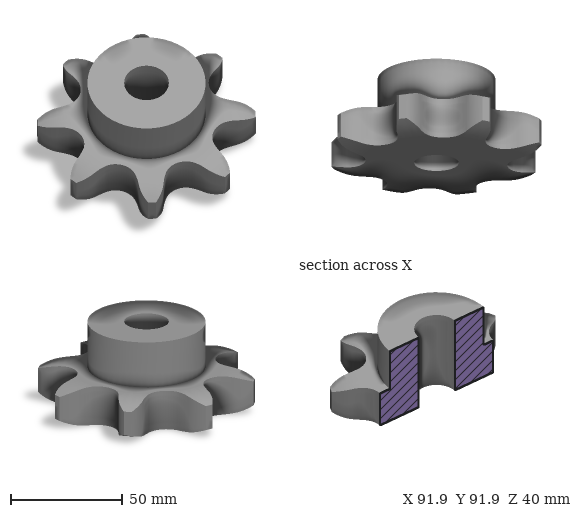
import cadquery as cq
import math

overall_width = 91.9
overall_height = 40.0
tooth_count = 8
chain_pitch = 31.7
roller_diameter = 19.0
plate_thickness = 18.5
hub_diameter = 53.0
bore_diameter = 20.0
flat_face_radius = 34.55
face_curve_radius = chain_pitch

half_step = 180 / tooth_count
pitch_radius = chain_pitch / (2 * math.sin(math.radians(half_step)))
seat_radius = roller_diameter / 2
seat_angle = 35 + 60 / tooth_count
working_angle = 18 - 56 / tooth_count
working_center_offset = 0.8 * roller_diameter
working_radius = working_center_offset + seat_radius
topping_center_offset = 1.4 * roller_diameter


def polar(center, radius, angle):
    """Point at a distance and an angle in degrees from a center."""
    turn = math.radians(angle)
    return (center[0] + radius * math.cos(turn), center[1] + radius * math.sin(turn))


seat_center = (pitch_radius, 0)
working_center = polar(seat_center, working_center_offset, seat_angle - 90)
topping_center = polar(seat_center, topping_center_offset, 90 + half_step)

seat_end = 90 + seat_angle
working_end = seat_end - working_angle
flank_normal = math.radians(working_end)

center_distance = (
    (topping_center[0] - working_center[0]) * math.cos(flank_normal)
    + (topping_center[1] - working_center[1]) * math.sin(flank_normal)
)
topping_radius = center_distance - working_radius
topping_start = working_end - 180

tip_x = overall_width / 2
topping_end = -math.degrees(math.acos((tip_x - topping_center[0]) / topping_radius))
tip_corner = polar(topping_center, topping_radius, topping_end)
tip_radius = math.hypot(*tip_corner)


def tooth_outline():
    """Closed outline of all the gaps and tooth tips."""
    seat_point = polar(seat_center, seat_radius, seat_end)
    seat_bottom = polar(seat_center, seat_radius, 180)
    working_middle = polar(working_center, working_radius, (seat_end + working_end) / 2)
    working_point = polar(working_center, working_radius, working_end)
    topping_point = polar(topping_center, topping_radius, topping_start)
    topping_middle = polar(topping_center, topping_radius, (topping_start + topping_end) / 2)

    def placed(point, step, side=1):
        """Turn a point to its gap; side -1 mirrors it to the lower flank."""
        angle = math.degrees(math.atan2(side * point[1], point[0]))
        return polar((0, 0), math.hypot(*point), angle + step * 360 / tooth_count)

    outline = cq.Workplane("XY").moveTo(*placed(tip_corner, 0, -1))
    for step in range(tooth_count):
        outline = (
            outline
            .threePointArc(placed(topping_middle, step, -1), placed(topping_point, step, -1))
            .lineTo(*placed(working_point, step, -1))
            .threePointArc(placed(working_middle, step, -1), placed(seat_point, step, -1))
            .threePointArc(placed(seat_bottom, step), placed(seat_point, step))
            .threePointArc(placed(working_middle, step), placed(working_point, step))
            .lineTo(*placed(topping_point, step))
            .threePointArc(placed(topping_middle, step), placed(tip_corner, step))
        )
        if step < tooth_count - 1:
            outline = outline.lineTo(*placed(tip_corner, step + 1, -1))
    return outline.close()


def face_curve_drop(radius):
    """Depth of the curved side face below the flat face at a given radius."""
    run = radius - flat_face_radius
    return face_curve_radius - math.sqrt(face_curve_radius**2 - run**2)


def rounded_disc():
    """Disc whose two side faces curve inward toward the rim."""
    middle_radius = (flat_face_radius + tip_radius) / 2
    middle_drop = face_curve_drop(middle_radius)
    tip_drop = face_curve_drop(tip_radius)
    return (
        cq.Workplane("XZ")
        .lineTo(flat_face_radius, 0)
        .threePointArc((middle_radius, middle_drop), (tip_radius, tip_drop))
        .lineTo(tip_radius, plate_thickness - tip_drop)
        .threePointArc(
            (middle_radius, plate_thickness - middle_drop),
            (flat_face_radius, plate_thickness),
        )
        .lineTo(0, plate_thickness)
        .close()
        .revolve(360, (0, 0, 0), (0, 1, 0))
    )


toothed_plate = tooth_outline().extrude(plate_thickness).intersect(rounded_disc())
hub = cq.Workplane("XY").circle(hub_diameter / 2).extrude(overall_height)
bore = cq.Workplane("XY").circle(bore_diameter / 2).extrude(overall_height)

result = toothed_plate.union(hub).cut(bore)